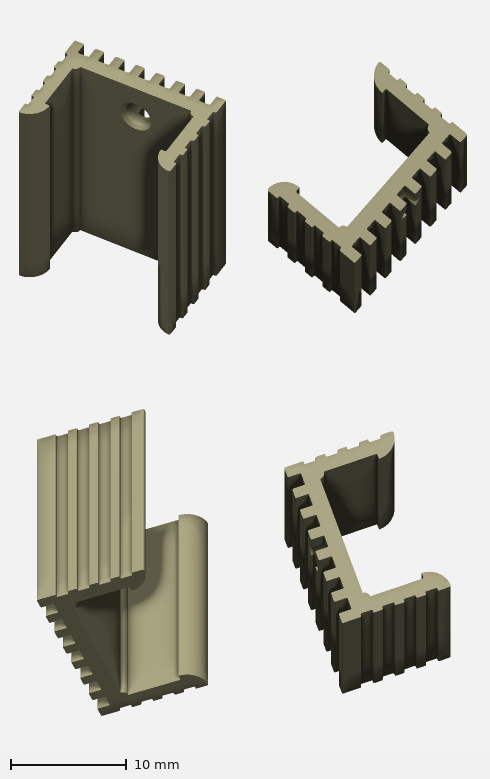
import cadquery as cq

width = 15.0
depth = 10.0
length = 20.0
half_width = width / 2
back = depth / 2
front = -depth / 2

wall_thickness = 1.5
web_front_depth = 2.6
bead_radius = 0.5
inner_x = half_width - wall_thickness
web_front = back - web_front_depth

lip_radius = 2.0
lip_outer_radius = 0.2
lip_root_fillet = 0.1
lip_tip_x = half_width - lip_radius
lip_top = front + lip_radius

groove_width = 1.1
back_groove_count = 7
back_groove_pitch = 2.0
back_groove_depth = 1.2
fin_root_fillet = 0.1
fin_tip_fillet = 0.1
side_groove_count = 4
side_groove_pitch = 1.98
side_groove_depth = 0.3
first_side_groove = 2.32
rib_fillet = 0.1

hole_diameter = 2.45
countersink_depth = 0.3
hole_from_top = 3.4


def fillet_edges_at(body, points, radius):
    """Round the lengthwise edge that passes through each (x, y) point."""
    for x, y in points:
        nearest = cq.selectors.NearestToPointSelector((x, y, length / 2))
        body = body.edges("|Z").edges(nearest).fillet(radius)
    return body


def make_channel():
    """Extrude one half of the U section, with its corner bead and clip lip, and mirror it."""
    half_channel = (
        cq.Workplane("XY")
        .moveTo(0, back)
        .lineTo(half_width, back)
        .lineTo(half_width, front + lip_outer_radius)
        .radiusArc((half_width - lip_outer_radius, front), lip_outer_radius)
        .radiusArc((lip_tip_x, lip_top), lip_radius)
        .lineTo(inner_x, lip_top)
        .lineTo(inner_x, web_front - bead_radius)
        .radiusArc((inner_x - bead_radius, web_front), bead_radius)
        .lineTo(0, web_front)
        .close()
        .extrude(length)
    )
    half_channel = fillet_edges_at(half_channel, [(inner_x, lip_top)], lip_root_fillet)
    return half_channel.union(half_channel.mirror("YZ")).clean()


def cut_back_grooves(body):
    """Cut the evenly spaced grooves between the back fins and round the fin tips."""
    cutter = (
        cq.Workplane("XY")
        .rarray(back_groove_pitch, 0.2, back_groove_count, 1)
        .rect(groove_width, 2 * back_groove_depth)
        .extrude(length)
        .edges("|Z")
        .fillet(fin_root_fillet)
        .translate((0, back, 0))
    )
    return body.cut(cutter).faces(">Y").edges("|Z").fillet(fin_tip_fillet)


def cut_side_grooves(body):
    """Cut the shallow grooves in both side walls and round the rib edges."""
    rib_edges = []
    for face_x in (-half_width, half_width):
        for index in range(side_groove_count):
            middle_y = back - first_side_groove - index * side_groove_pitch
            cutter = (
                cq.Workplane("XY")
                .center(face_x, middle_y)
                .rect(2 * side_groove_depth, groove_width)
                .extrude(length)
                .edges("|Z")
                .fillet(rib_fillet)
            )
            body = body.cut(cutter)
            rib_edges.append((face_x, middle_y - groove_width / 2))
            rib_edges.append((face_x, middle_y + groove_width / 2))
    return fillet_edges_at(body, rib_edges, rib_fillet)


def cut_mounting_hole(body):
    """Cut the through hole, countersunk from the inner face of the web."""
    web_plane = cq.Plane(
        origin=(0, web_front, length - hole_from_top),
        xDir=(1, 0, 0),
        normal=(0, -1, 0),
    )
    hole_radius = hole_diameter / 2
    drill = cq.Workplane(web_plane).circle(hole_radius).extrude(-web_front_depth)
    countersink = (
        cq.Workplane(web_plane)
        .circle(hole_radius + countersink_depth)
        .workplane(offset=-countersink_depth)
        .circle(hole_radius)
        .loft()
    )
    return body.cut(drill).cut(countersink)


result = make_channel()
result = cut_back_grooves(result)
result = cut_side_grooves(result)
result = cut_mounting_hole(result)